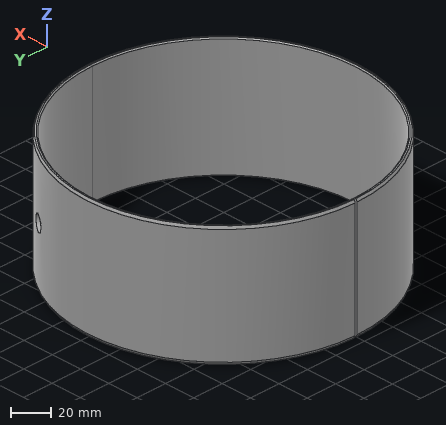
import cadquery as cq

outer_diameter = 190.0
height = 80.0
wall = 2.5
outer_bevel_height = 1.7
bevel_depth = 0.8
slit_width = 1.3
slit_start = 0.2
hole_diameter = 10.0
hole_angle = 59.0

outer_radius = outer_diameter / 2
inner_radius = outer_radius - wall
cutter_length = 4 * wall


def band():
    """Ring centred on the origin, with steep outer bevels and 45 degree inner bevels."""
    rim = height / 2
    outer_shoulder = rim - outer_bevel_height
    inner_shoulder = rim - bevel_depth
    profile = [
        (outer_radius, -outer_shoulder),
        (outer_radius, outer_shoulder),
        (outer_radius - bevel_depth, rim),
        (inner_radius + bevel_depth, rim),
        (inner_radius, inner_shoulder),
        (inner_radius, -inner_shoulder),
        (inner_radius + bevel_depth, -rim),
        (outer_radius - bevel_depth, -rim),
    ]
    return cq.Workplane("XZ").polyline(profile).close().revolve(360, (0, 0, 0), (0, 1, 0))


def slit():
    """Full-height cutter through the wall on the -X side, just on the +Y side of the X axis."""
    centre_y = slit_start + slit_width / 2
    return cq.Workplane("XY").box(cutter_length, slit_width, height).translate((-outer_radius, centre_y, 0))


def wall_hole():
    """Radial cutter through the wall at mid-height, turned to the hole angle."""
    return (
        cq.Workplane("YZ", origin=(outer_radius - cutter_length / 2, 0, 0))
        .circle(hole_diameter / 2)
        .extrude(cutter_length)
        .rotate((0, 0, 0), (0, 0, 1), hole_angle)
    )


result = band().cut(slit()).cut(wall_hole())